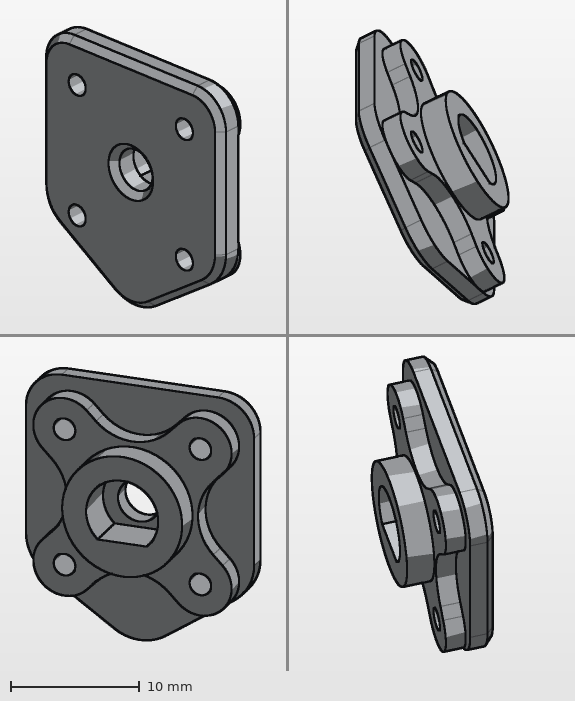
import cadquery as cq
import math

plate_half_width = 9.5
plate_thickness = 2.0
tip_z = -12.5
tip_slope = 2 / 3
shoulder_z = tip_z + tip_slope * plate_half_width
upper_corner_radius = 3.0
lower_corner_radius = 3.8
edge_chamfer = 0.6

bolt_circle_diameter = 16.0
arm_angle = 45
screw_hole_diameter = 1.8
arm_radius = 2.6
arm_blend_radius = 4.3
pad_thickness = 1.6

boss_diameter = 10.0
boss_height = 2.2
bore_diameter = 3.5
bore_chamfer = 0.6

socket_diameter = 6.0
socket_flat_offset = 2.2
socket_floor_thickness = 2.2

selection_margin = 0.1

pad_back_y = plate_thickness + pad_thickness
total_depth = pad_back_y + boss_height
bolt_circle_radius = bolt_circle_diameter / 2
screw_offset = bolt_circle_radius * math.sin(math.radians(arm_angle))
screw_points = [(sx * screw_offset, sz * screw_offset) for sx in (-1, 1) for sz in (-1, 1)]


def facing_back(start_y):
    """Workplane at depth start_y with local axes +X, +Z; extrude by a negative value to go along +Y."""
    return cq.Workplane("XZ", origin=(0, start_y, 0))


def make_plate():
    outline = [
        (-plate_half_width, plate_half_width),
        (plate_half_width, plate_half_width),
        (plate_half_width, shoulder_z),
        (0, tip_z),
        (-plate_half_width, shoulder_z),
    ]
    plate = facing_back(0).polyline(outline).close().extrude(-plate_thickness)
    plate = plate.edges("|Y and >Z").fillet(upper_corner_radius)
    lower_corners = cq.selectors.BoxSelector(
        (-plate_half_width - selection_margin, 0, tip_z - selection_margin),
        (plate_half_width + selection_margin, plate_thickness, shoulder_z + selection_margin),
    )
    plate = plate.edges("|Y").edges(lower_corners).fillet(lower_corner_radius)
    return plate.faces("<Y").chamfer(edge_chamfer)


def make_pad():
    """Two crossed round-ended bars with the four inner corners blended."""
    bar_length = 2 * (bolt_circle_radius + arm_radius)
    pad = facing_back(plate_thickness).slot2D(bar_length, 2 * arm_radius, arm_angle).extrude(-pad_thickness)
    pad = pad.union(pad.mirror("YZ"))
    corner_reach = math.sqrt(2) * arm_radius + selection_margin
    inner_corners = cq.selectors.BoxSelector(
        (-corner_reach, 0, -corner_reach), (corner_reach, total_depth, corner_reach)
    )
    return pad.edges("|Y").edges(inner_corners).fillet(arm_blend_radius)


def make_boss():
    return facing_back(pad_back_y).circle(boss_diameter / 2).extrude(-boss_height)


def make_bore():
    """Through bore with a conical lead-in at the front face."""
    bore = facing_back(0).circle(bore_diameter / 2).extrude(-total_depth)
    mouth_radius = bore_diameter / 2 + bore_chamfer
    lead_in = cq.Solid.makeCone(
        mouth_radius, bore_diameter / 2, bore_chamfer, cq.Vector(0, 0, 0), cq.Vector(0, 1, 0)
    )
    return bore.union(cq.Workplane(lead_in))


def make_socket():
    """Round socket with one flat on its lower side."""
    socket_depth = total_depth - socket_floor_thickness
    socket = facing_back(socket_floor_thickness).circle(socket_diameter / 2).extrude(-socket_depth)
    block = cq.Workplane("XY", origin=(0, socket_floor_thickness, -socket_flat_offset)).box(
        socket_diameter, socket_depth, socket_diameter, centered=(True, False, False)
    )
    return socket.intersect(block)


def make_screw_holes():
    return facing_back(0).pushPoints(screw_points).circle(screw_hole_diameter / 2).extrude(-total_depth)


body = make_plate().union(make_pad()).union(make_boss())
result = body.cut(make_bore()).cut(make_socket()).cut(make_screw_holes())